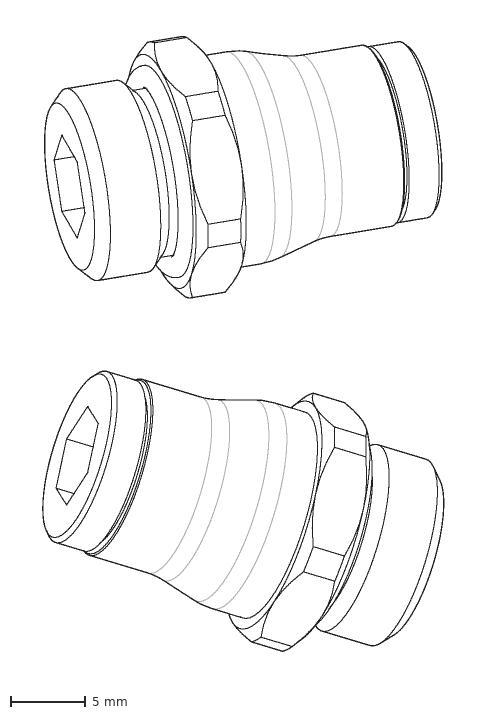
import cadquery as cq
import math

LENGTH = 24.5

THREAD_RADIUS = 6.57
THREAD_CHAMFER = 0.85
THREAD_END = 4.4
NECK_RADIUS = THREAD_RADIUS - THREAD_CHAMFER

HEX_FLATS = 16.0
HEX_CORNER_RADIUS = 8.75
HEX_START = 6.47
HEX_END = 10.0
HEX_CHAMFER_HEIGHT = 0.61

BODY_RADIUS = 7.25
SLEEVE_RADIUS = 6.2
TAPER_START = 12.25
TAPER_END = 17.32
BLEND_LENGTH = 1.25
SLEEVE_END = 21.75
SLEEVE_CHAMFER = 0.1

SEAL_RADIUS = (BODY_RADIUS - NECK_RADIUS) / 2

GROOVE_RADIUS = 5.51
COLLAR_RADIUS = 6.03
COLLAR_START = 22.1
COLLAR_CHAMFER = 0.3

BORE_FLATS = 6.08


def hexagon_prism(across_flats, start, end):
    """Hexagonal prism along Y with two corners on the X axis."""
    across_corners = across_flats / math.cos(math.pi / 6)
    return (
        cq.Workplane("XZ", origin=(0, start, 0))
        .polygon(6, across_corners)
        .extrude(start - end)
    )


def revolve_about_y(profile):
    return profile.close().revolve(360, (0, 0, 0), (0, 1, 0))


def make_body():
    cone_length = TAPER_END - TAPER_START - 2 * BLEND_LENGTH
    slope = (BODY_RADIUS - SLEEVE_RADIUS) / (cone_length + BLEND_LENGTH)
    blend_drop = slope * BLEND_LENGTH / 2
    profile = (
        cq.Workplane("XY")
        .lineTo(NECK_RADIUS, 0)
        .lineTo(THREAD_RADIUS, THREAD_CHAMFER)
        .lineTo(THREAD_RADIUS, THREAD_END)
        .lineTo(NECK_RADIUS, THREAD_END + THREAD_CHAMFER)
        .lineTo(NECK_RADIUS, HEX_START)
        .threePointArc(
            (NECK_RADIUS + SEAL_RADIUS, HEX_START - SEAL_RADIUS),
            (BODY_RADIUS, HEX_START),
        )
        .lineTo(BODY_RADIUS, TAPER_START)
        .tangentArcPoint((BODY_RADIUS - blend_drop, TAPER_START + BLEND_LENGTH), relative=False)
        .lineTo(SLEEVE_RADIUS + blend_drop, TAPER_END - BLEND_LENGTH)
        .tangentArcPoint((SLEEVE_RADIUS, TAPER_END), relative=False)
        .lineTo(SLEEVE_RADIUS, SLEEVE_END - SLEEVE_CHAMFER)
        .lineTo(SLEEVE_RADIUS - SLEEVE_CHAMFER, SLEEVE_END)
        .lineTo(GROOVE_RADIUS, SLEEVE_END)
        .lineTo(GROOVE_RADIUS, COLLAR_START)
        .lineTo(COLLAR_RADIUS, COLLAR_START)
        .lineTo(COLLAR_RADIUS, LENGTH - COLLAR_CHAMFER)
        .lineTo(COLLAR_RADIUS - COLLAR_CHAMFER, LENGTH)
        .lineTo(0, LENGTH)
    )
    return revolve_about_y(profile)


def make_hex_flange():
    """Hexagon whose corners are turned round and chamfered on both faces."""
    face_radius = HEX_FLATS / 2
    turned_limit = revolve_about_y(
        cq.Workplane("XY")
        .moveTo(0, HEX_START)
        .lineTo(face_radius, HEX_START)
        .lineTo(HEX_CORNER_RADIUS, HEX_START + HEX_CHAMFER_HEIGHT)
        .lineTo(HEX_CORNER_RADIUS, HEX_END - HEX_CHAMFER_HEIGHT)
        .lineTo(face_radius, HEX_END)
        .lineTo(0, HEX_END)
    )
    return hexagon_prism(HEX_FLATS, HEX_START, HEX_END).intersect(turned_limit)


bore = hexagon_prism(BORE_FLATS, 0, LENGTH)
result = make_body().union(make_hex_flange()).cut(bore)